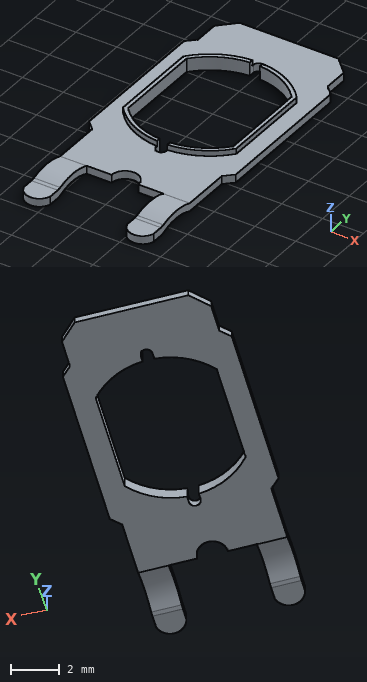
import cadquery as cq
import math

plate_thickness = 0.4
total_height = 0.67

plate_half_width = 3.6
neck_half_width = 3.18
top_end = 5.93
length = 15.49
tip_end = top_end - length
bottom_edge = -6.35
corner_chamfer = 0.76
shoulder_inner = 3.55
shoulder_outer = 3.95

rim_radius = 3.58
rim_half_width = 2.77
rim_wall = 0.2
notch_radius = 0.25
notch_reach = 3.89
edge_notch_radius = 0.65

leg_width = 1.3
bump_peak = -7.37
bump_end = -8.32
flat_start = -8.5
bump_rise_top = 0.19
bump_rise_bottom = 0.22
bump_end_rise = 0.03
tip_depth = 0.5


def make_plate():
    """Flat plate with chamfered corners and a wider middle."""
    right_side = [
        (neck_half_width, bottom_edge),
        (neck_half_width, -shoulder_outer),
        (plate_half_width, -shoulder_inner),
        (plate_half_width, shoulder_inner),
        (neck_half_width, shoulder_outer),
        (neck_half_width, top_end - corner_chamfer),
        (neck_half_width - corner_chamfer, top_end),
    ]
    left_side = [(-x, y) for x, y in reversed(right_side)]
    return cq.Workplane("XY").polyline(right_side + left_side).close().extrude(plate_thickness)


def barrel(radius, half_width):
    """Full-height disc cut flat on its left and right sides."""
    corner_y = math.sqrt(radius**2 - half_width**2)
    return (
        cq.Workplane("XY")
        .moveTo(half_width, -corner_y)
        .lineTo(half_width, corner_y)
        .threePointArc((0, radius), (-half_width, corner_y))
        .lineTo(-half_width, -corner_y)
        .threePointArc((0, -radius), (half_width, -corner_y))
        .close()
        .extrude(total_height)
    )


def make_leg(center_x):
    """Leg with an upward bump along its length and a rounded tip."""
    profile = (
        cq.Workplane("YZ", origin=(center_x, 0, 0))
        .moveTo(bottom_edge, 0)
        .threePointArc((bump_peak, bump_rise_bottom), (bump_end, bump_end_rise))
        .lineTo(flat_start, 0)
        .lineTo(tip_end, 0)
        .lineTo(tip_end, plate_thickness)
        .lineTo(flat_start, plate_thickness)
        .lineTo(bump_end, plate_thickness + bump_end_rise)
        .threePointArc((bump_peak, plate_thickness + bump_rise_top), (bottom_edge, plate_thickness))
        .close()
        .extrude(leg_width / 2, both=True)
    )
    left = center_x - leg_width / 2
    right = center_x + leg_width / 2
    tip_outline = (
        cq.Workplane("XY")
        .moveTo(left, bottom_edge)
        .lineTo(left, tip_end + tip_depth)
        .threePointArc((center_x, tip_end), (right, tip_end + tip_depth))
        .lineTo(right, bottom_edge)
        .close()
        .extrude(total_height)
    )
    return profile.intersect(tip_outline)


result = make_plate().union(barrel(rim_radius, rim_half_width))
result = result.cut(barrel(rim_radius - rim_wall, rim_half_width - rim_wall))

slot = cq.Workplane("XY").slot2D(2 * notch_reach, 2 * notch_radius, 90).extrude(total_height)
result = result.cut(slot)

edge_notch = cq.Workplane("XY").center(0, bottom_edge).circle(edge_notch_radius).extrude(plate_thickness)
result = result.cut(edge_notch)

for side in (-1, 1):
    result = result.union(make_leg(side * (neck_half_width - leg_width / 2)))